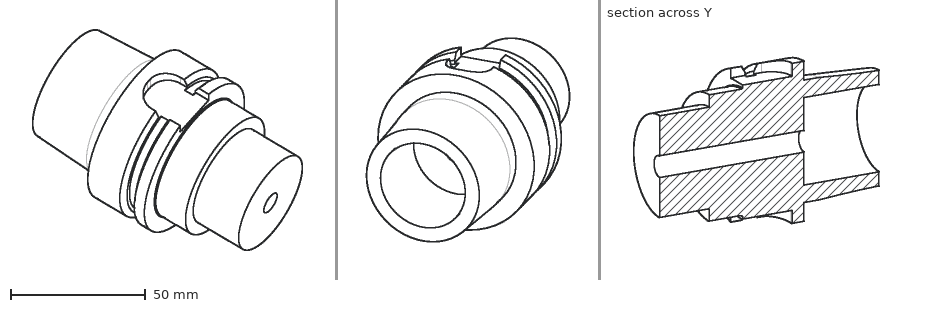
import cadquery as cq

taper_end = 25.7
collar_start = 31.8
groove_start = 46.5
groove_floor_start = 48.0
groove_floor_end = 51.7
groove_end = 53.2
collar_end = 57.9
relief_end = 58.3
shoulder_end = 72.0
total_length = 92.9

shank_tip_radius = 22.8
shank_radius = 24.2
collar_radius = 31.5
groove_wall_radius = 28.9
groove_floor_radius = 27.4
relief_radius = 25.3
shoulder_radius = 24.9
nose_radius = 20.1

bore_radius = 17.1
bore_depth = collar_start
coolant_hole_radius = 4.2

slot_start = 36.9
slot_width = 17.9
slot_corner_radius = 8.0
slot_floor_height = 26.4


def turned_body():
    """Revolve the outer half profile about the X axis."""
    profile = [
        (0, 0),
        (0, shank_tip_radius),
        (taper_end, shank_radius),
        (collar_start, shank_radius),
        (collar_start, collar_radius),
        (groove_start, collar_radius),
        (groove_floor_start, groove_wall_radius),
        (groove_floor_start, groove_floor_radius),
        (groove_floor_end, groove_floor_radius),
        (groove_floor_end, groove_wall_radius),
        (groove_end, collar_radius),
        (collar_end, collar_radius),
        (collar_end, relief_radius),
        (relief_end, shoulder_radius),
        (shoulder_end, shoulder_radius),
        (shoulder_end, nose_radius),
        (total_length, nose_radius),
        (total_length, 0),
    ]
    return cq.Workplane("XY").polyline(profile).close().revolve(360, (0, 0, 0), (1, 0, 0))


def axial_hole(radius, depth):
    """Cylinder running from the open end along +X."""
    return cq.Workplane("YZ").circle(radius).extrude(depth)


def upper_drive_slot():
    """Flat-bottomed slot with a rounded closed end, open towards +X."""
    slot_length = collar_end - slot_start
    slot_depth = collar_radius - slot_floor_height
    return (
        cq.Workplane("XY", origin=(slot_start + slot_length / 2, 0, slot_floor_height))
        .rect(slot_length, slot_width)
        .extrude(slot_depth)
        .edges("|Z and <X")
        .fillet(slot_corner_radius)
    )


upper_slot = upper_drive_slot()
lower_slot = upper_slot.mirror("XY")

result = (
    turned_body()
    .cut(axial_hole(bore_radius, bore_depth))
    .cut(axial_hole(coolant_hole_radius, total_length))
    .cut(upper_slot)
    .cut(lower_slot)
)